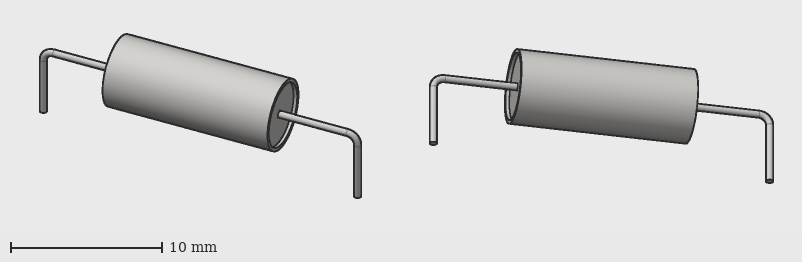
import cadquery as cq

overall_length = 23.35
body_diameter = 5.0
body_length = 12.0
recess_diameter = 4.5
recess_depth = 0.25
wire_diameter = 0.5
bend_radius = 0.75
leg_drop = 5.0

half_body = body_length / 2
leg_x = (overall_length - wire_diameter) / 2
bend_start_x = leg_x - bend_radius


def cylinder_along_x(diameter, start_x, length):
    """Cylinder on the X axis, running from start_x toward +X."""
    return cq.Workplane("YZ", origin=(start_x, 0, 0)).circle(diameter / 2).extrude(length)


def make_body():
    """Cylindrical body with recessed ends and a through hole for the wire."""
    body = cylinder_along_x(body_diameter, -half_body, body_length)
    for recess_start in (-half_body, half_body - recess_depth):
        body = body.cut(cylinder_along_x(recess_diameter, recess_start, recess_depth))
    return body.cut(cylinder_along_x(wire_diameter, -half_body, body_length))


def make_wire():
    """One continuous wire through the body, bent down into a leg at each end."""
    path = (
        cq.Workplane("XZ")
        .moveTo(-leg_x, -leg_drop)
        .lineTo(-leg_x, -bend_radius)
        .tangentArcPoint((-bend_start_x, 0), relative=False)
        .lineTo(bend_start_x, 0)
        .tangentArcPoint((leg_x, -bend_radius), relative=False)
        .lineTo(leg_x, -leg_drop)
    )
    leg_tip = cq.Workplane("XY", origin=(-leg_x, 0, -leg_drop))
    return leg_tip.circle(wire_diameter / 2).sweep(path)


body = make_body()
wire = make_wire()

result = cq.Compound.makeCompound([body.val(), wire.val()])